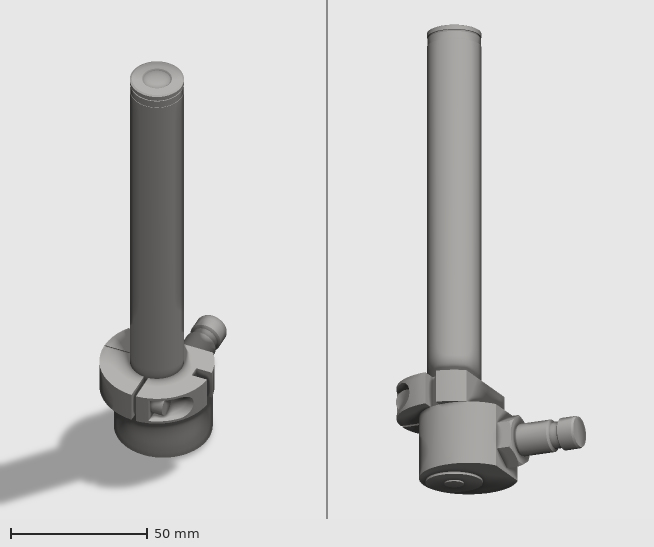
import cadquery as cq
import math

total_height = 175.1

foot_diameter = 7.2
foot_height = 0.5
flange_diameter = 21.0
flange_height = 0.9

body_bottom = foot_height + flange_height
body_top = 25.2
body_diameter = 36.5
body_center_y = 5.8
body_flat_y = 21.2

clamp_diameter = 42.4
clamp_top = 37.3
clamp_height = clamp_top - body_top
clamp_mid_z = (clamp_top + body_top) / 2
clamp_flat_y = 12.6
split_width = 1.8
score_width = 0.7
score_depth = 0.4
notch_width = 4.2
notch_inner_x = 14.9

screw_y = -14.5
screw_diameter = 5.0
screw_end_x = -8.8
screw_head_diameter = 8.5
screw_head_height = 4.7
pocket_diameter = 10.0
pocket_start_x = 5.6

tube_diameter = 20.0
tube_top = 169.5
cap_neck_diameter = 19.6
cap_groove_diameter = 18.9
cap_groove_height = 0.7
cap_rim_height = 2.0
cap_rim_top_bevel_height = 0.4
cap_rim_top_bevel_width = 0.7
recess_top_diameter = 11.0
recess_floor_diameter = 10.0
recess_depth = 0.5

connector_z = 13.3
connector_end_y = 50.6
nut_corner_diameter = 20.0
nut_thickness = 5.6
nut_chamfer = 0.7
connector_diameter = 12.0
connector_groove_diameter = 10.0
connector_groove_start_y = 39.7
connector_groove_end_y = 44.1
connector_bevel_length = 0.9
connector_bevel_depth = 0.4
connector_groove_slope = 0.7


def cylinder_z(diameter, bottom, top):
    return cq.Workplane("XY").workplane(offset=bottom).circle(diameter / 2).extrude(top - bottom)


def cylinder_x(diameter, start, end):
    plane = cq.Plane(origin=(start, screw_y, clamp_mid_z), xDir=(0, 1, 0), normal=(1, 0, 0))
    return cq.Workplane(plane).circle(diameter / 2).extrude(end - start)


def box_between(low, high):
    size = [b - a for a, b in zip(low, high)]
    return cq.Workplane("XY").box(*size, centered=False).translate(low)


def make_body():
    drum = cylinder_z(body_diameter, body_bottom, body_top).translate((0, body_center_y, 0))
    beyond_flat = box_between(
        (-body_diameter, body_flat_y, body_bottom),
        (body_diameter, body_flat_y + body_diameter, body_top),
    )
    foot = cylinder_z(foot_diameter, 0, body_bottom)
    flange = cylinder_z(flange_diameter, foot_height, body_bottom)
    return drum.cut(beyond_flat).union(flange).union(foot)


def make_clamp():
    radius = clamp_diameter / 2
    collar = cylinder_z(clamp_diameter, body_top, clamp_top)
    beyond_flat = box_between((-radius, clamp_flat_y, body_top), (radius, radius, clamp_top))
    split = box_between((-split_width / 2, -radius, body_top), (split_width / 2, 0, clamp_top))
    score = box_between((-radius, -score_width / 2, clamp_top - score_depth), (0, score_width / 2, clamp_top))
    notch = box_between(
        (notch_inner_x, -notch_width / 2, body_top),
        (radius, notch_width / 2, clamp_top),
    )
    pocket_floor = cylinder_x(pocket_diameter, pocket_start_x, radius)
    pocket_mouth = box_between(
        (pocket_start_x, -radius, clamp_mid_z - pocket_diameter / 2),
        (radius, screw_y, clamp_mid_z + pocket_diameter / 2),
    )
    for cutter in (beyond_flat, split, score, notch, pocket_floor, pocket_mouth):
        collar = collar.cut(cutter)
    shank = cylinder_x(screw_diameter, screw_end_x, pocket_start_x)
    head = cylinder_x(screw_head_diameter, pocket_start_x, pocket_start_x + screw_head_height)
    return collar.union(shank).union(head)


def make_tube():
    rim_bottom = total_height - cap_rim_height
    groove_bottom = rim_bottom - cap_groove_height
    tube = cylinder_z(tube_diameter, body_top, tube_top)
    neck = cylinder_z(cap_neck_diameter, tube_top, groove_bottom)
    groove = cylinder_z(cap_groove_diameter, groove_bottom, rim_bottom)
    rim = cylinder_z(tube_diameter, rim_bottom, total_height)
    rim = rim.faces(">Z").chamfer(cap_rim_top_bevel_height, cap_rim_top_bevel_width)
    recess_floor = total_height - recess_depth
    recess = (
        cq.Workplane("XY").workplane(offset=recess_floor).circle(recess_floor_diameter / 2)
        .workplane(offset=recess_depth).circle(recess_top_diameter / 2).loft()
    )
    return tube.union(neck).union(groove).union(rim).cut(recess)


def make_connector():
    nut_end_y = body_flat_y + nut_thickness
    nut_plane = cq.Plane(origin=(0, body_flat_y, connector_z), xDir=(0, 0, 1), normal=(0, 1, 0))
    nut = cq.Workplane(nut_plane).polygon(6, nut_corner_diameter).extrude(nut_thickness)
    nut_radius = nut_corner_diameter / 2
    bevel_radius = nut_radius - nut_chamfer / math.tan(math.radians(30))
    bevel_outline = [
        (0, body_flat_y),
        (nut_radius, body_flat_y),
        (nut_radius, nut_end_y - nut_chamfer),
        (bevel_radius, nut_end_y),
        (0, nut_end_y),
    ]
    barrel_radius = connector_diameter / 2
    groove_radius = connector_groove_diameter / 2
    barrel_outline = [
        (0, nut_end_y),
        (barrel_radius - connector_bevel_depth, nut_end_y),
        (barrel_radius, nut_end_y + connector_bevel_length),
        (barrel_radius, connector_groove_start_y),
        (groove_radius, connector_groove_start_y + connector_groove_slope),
        (groove_radius, connector_groove_end_y - connector_groove_slope),
        (barrel_radius, connector_groove_end_y),
        (barrel_radius, connector_end_y - connector_bevel_length),
        (barrel_radius - connector_bevel_depth, connector_end_y),
        (0, connector_end_y),
    ]

    def turned(outline):
        profile = cq.Workplane("XY").polyline(outline).close()
        return profile.revolve(360, (0, 0, 0), (0, 1, 0)).translate((0, 0, connector_z))

    return nut.intersect(turned(bevel_outline)).union(turned(barrel_outline))


result = make_body().union(make_clamp()).union(make_tube()).union(make_connector())